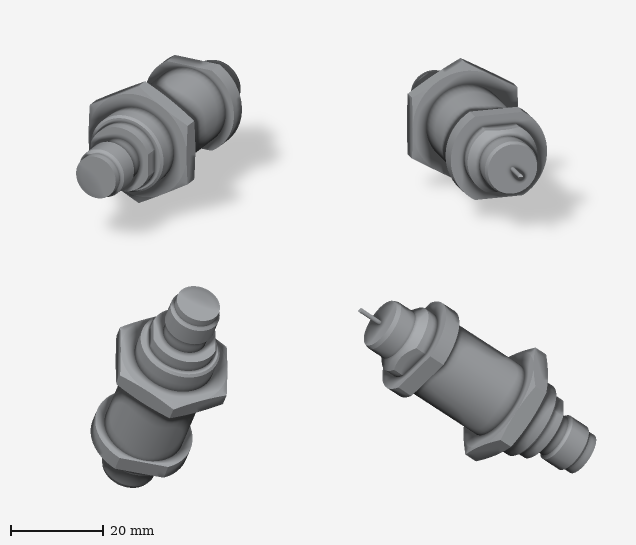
import cadquery as cq
import math

LENGTH = 62.3

RING_FRONT_TAPER = 1.95
RING_START = 2.6
RING_END = 7.15
RING_BACK_TAPER = 7.8
NECK_END = 10.95
SPANNER_END = 13.95
NUT_START = 19.3
NUT_THICKNESS = 4.05
FLANGE_START = 43.25
FLANGE_END = 46.9
COLLAR_END = 49.45
STUB_END = 56.45

PLUG_DIAMETER = 9.7
RING_DIAMETER = 11.1
SPANNER_DIAMETER = 14.95
BODY_DIAMETER = 17.8
FLANGE_DIAMETER = 21.9
COLLAR_DIAMETER = 15.95
STUB_DIAMETER = 11.95
PIN_DIAMETER = 1.0

BODY_CHAMFER = 0.5
STUB_CHAMFER_LENGTH = 1.0
STUB_CHAMFER_DEPTH = 0.4

SPANNER_FLATS = 14.0
FLANGE_FLATS = 19.0
COLLAR_FLATS = 14.0
NUT_FLATS = 24.0
NUT_CHAMFER_ANGLE = 16.0

CONE_END = COLLAR_END + (COLLAR_DIAMETER - STUB_DIAMETER) / 2


def turned(stations):
    """Revolve (position, diameter) pairs about the Y axis, closing the outline on the axis."""
    outline = [(0, stations[0][0])]
    outline += [(diameter / 2, position) for position, diameter in stations]
    outline += [(0, stations[-1][0])]
    return cq.Workplane("XY").polyline(outline).close().revolve(360, (0, 0), (0, 1))


def cylinder(start, end, diameter):
    return turned([(start, diameter), (end, diameter)])


def slab(start, end, width_x, width_z):
    """Rectangular block centred on the axis."""
    return cq.Workplane("XY").box(width_x, end - start, width_z).translate((0, (start + end) / 2, 0))


def plug():
    return turned([
        (0, PLUG_DIAMETER),
        (RING_FRONT_TAPER, PLUG_DIAMETER),
        (RING_START, RING_DIAMETER),
        (RING_END, RING_DIAMETER),
        (RING_BACK_TAPER, PLUG_DIAMETER),
        (NECK_END, PLUG_DIAMETER),
    ])


def spanner_section():
    """Round section with two flats facing -X and +X."""
    flats = slab(NECK_END, SPANNER_END, SPANNER_FLATS, SPANNER_DIAMETER)
    return cylinder(NECK_END, SPANNER_END, SPANNER_DIAMETER).intersect(flats)


def body():
    return turned([
        (SPANNER_END, BODY_DIAMETER - 2 * BODY_CHAMFER),
        (SPANNER_END + BODY_CHAMFER, BODY_DIAMETER),
        (FLANGE_START, BODY_DIAMETER),
    ])


def nut():
    """Hexagon nut with corners up and down, its corners chamfered on both faces."""
    nut_end = NUT_START + NUT_THICKNESS
    corner_diameter = NUT_FLATS / math.cos(math.radians(30))
    chamfer_length = (corner_diameter - NUT_FLATS) / 2 * math.tan(math.radians(NUT_CHAMFER_ANGLE))
    hexagon = (
        cq.Workplane("XZ", origin=(0, NUT_START, 0))
        .transformed(rotate=(0, 0, 90))
        .polygon(6, corner_diameter)
        .extrude(-NUT_THICKNESS)
    )
    envelope = turned([
        (NUT_START, NUT_FLATS),
        (NUT_START + chamfer_length, corner_diameter),
        (nut_end - chamfer_length, corner_diameter),
        (nut_end, NUT_FLATS),
    ])
    return hexagon.intersect(envelope)


def flange():
    """Round flange with two flats facing up and down."""
    flats = slab(FLANGE_START, FLANGE_END, FLANGE_DIAMETER, FLANGE_FLATS)
    return cylinder(FLANGE_START, FLANGE_END, FLANGE_DIAMETER).intersect(flats)


def collar():
    """Collar and cone, cut by two flats facing up and down."""
    blank = turned([
        (FLANGE_END, COLLAR_DIAMETER),
        (COLLAR_END, COLLAR_DIAMETER),
        (CONE_END, STUB_DIAMETER),
    ])
    return blank.intersect(slab(FLANGE_END, CONE_END, COLLAR_DIAMETER, COLLAR_FLATS))


def stub():
    return turned([
        (CONE_END, STUB_DIAMETER),
        (STUB_END - STUB_CHAMFER_LENGTH, STUB_DIAMETER),
        (STUB_END, STUB_DIAMETER - 2 * STUB_CHAMFER_DEPTH),
    ])


def pin():
    """Thin pin whose tip is cut to a 45 degree wedge, its ridge running along X."""
    radius = PIN_DIAMETER / 2
    shoulder = LENGTH - radius
    side_outline = [
        (STUB_END, -radius),
        (shoulder, -radius),
        (LENGTH, 0),
        (shoulder, radius),
        (STUB_END, radius),
    ]
    wedge = cq.Workplane("YZ").polyline(side_outline).close().extrude(radius, both=True)
    return cylinder(STUB_END, LENGTH, PIN_DIAMETER).intersect(wedge)


result = plug()
for section in (spanner_section(), body(), nut(), flange(), collar(), stub(), pin()):
    result = result.union(section)
result = result.translate((0, -LENGTH / 2, 0))